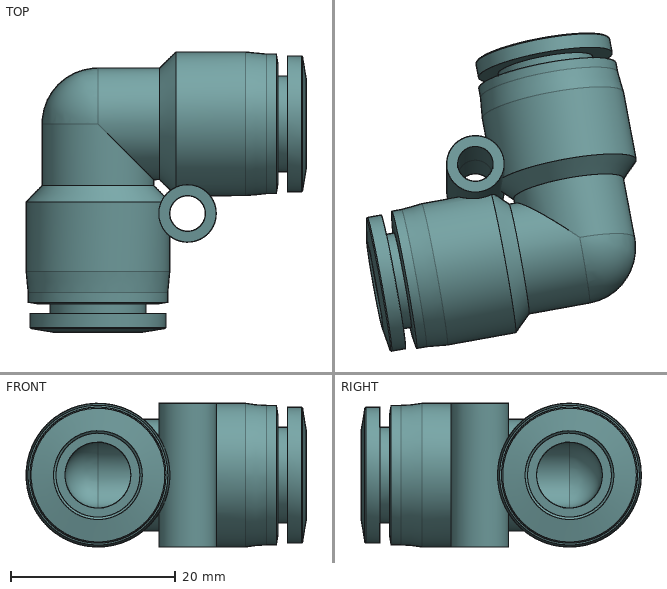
import cadquery as cq


elbow_radius = 6.8
bore_radius = 4.0

body_radius = 8.75
body_tip_radius = 8.5
shoulder_start = 7.5
shoulder_end = 9.5
taper_start = 17.95
taper_end = 20.5
tip_edge = 21.7
tip_end = 21.9
tip_face_radius = 7.3

neck_radius = 5.85
collar_radius = 8.28
collar_back = 23.05
collar_edge = 24.75
collar_edge_bevel = 0.15
arm_length = 25.35

socket_radius = 5.1
socket_floor = shoulder_end
mouth_bevel = 0.3

eyelet_offset = 10.9
eyelet_radius = 3.5
eyelet_hole_radius = 2.15
eyelet_height = 2 * body_radius


def revolve_along_x(profile):
    """Turn a list of (distance, radius) points about the X axis."""
    return cq.Workplane("XY").polyline(profile).close().revolve(360, (0, 0, 0), (1, 0, 0))


def to_second_arm(shape):
    """Swing a shape on the +X arm round to the -Y arm."""
    return shape.rotate((0, 0, 0), (0, 0, 1), -90)


def arm_outside():
    """Solid of one arm: elbow stem, stepped body, neck and release collar."""
    return revolve_along_x([
        (0, 0),
        (0, elbow_radius),
        (shoulder_start, elbow_radius),
        (shoulder_end, body_radius),
        (taper_start, body_radius),
        (taper_end, body_tip_radius),
        (tip_edge, body_tip_radius),
        (tip_end, tip_face_radius),
        (tip_end, neck_radius),
        (collar_back, neck_radius),
        (collar_back, collar_radius),
        (collar_edge, collar_radius),
        (collar_edge + collar_edge_bevel, collar_radius - collar_edge_bevel),
        (arm_length, socket_radius + mouth_bevel),
        (arm_length, 0),
    ])


def arm_inside():
    """Hollow of one arm: flow bore, tube socket and bevelled mouth."""
    return revolve_along_x([
        (0, 0),
        (0, bore_radius),
        (socket_floor, bore_radius),
        (socket_floor, socket_radius),
        (arm_length - mouth_bevel, socket_radius),
        (arm_length, socket_radius + mouth_bevel),
        (arm_length, 0),
    ])


def elbow_of(arm, corner_radius):
    """Join two copies of an arm with a ball that rounds the outer corner."""
    ball = cq.Workplane("XY").sphere(corner_radius)
    return arm.union(to_second_arm(arm)).union(ball)


def eyelet_cylinder(radius):
    """Full-height upright cylinder on the eyelet axis."""
    return (
        cq.Workplane("XY")
        .center(eyelet_offset, -eyelet_offset)
        .circle(radius)
        .extrude(eyelet_height / 2, both=True)
    )


outside = elbow_of(arm_outside(), elbow_radius).union(eyelet_cylinder(eyelet_radius))
inside = elbow_of(arm_inside(), bore_radius)
result = outside.cut(inside).cut(eyelet_cylinder(eyelet_hole_radius))